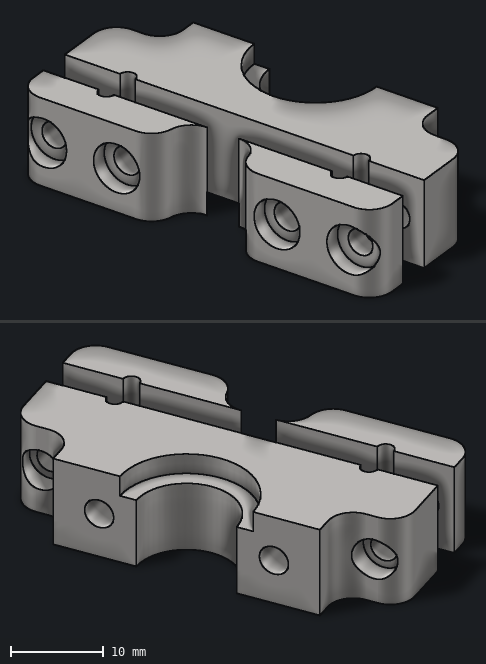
import cadquery as cq
import math

length = 47.0
height = 11.0
corner_radius = 3.0

saddle_depth = 13.5
neck_width = 32.0
shoulder_drop = 5.0
shoulder_y = saddle_depth - shoulder_drop
bore_radius = 6.0
bore_step_radius = 8.0
bore_step_depth = 2.5

clamp_gap = 4.05
clamp_thickness = 5.0
clamp_tip_x = 2.05
clamp_face_y = -clamp_gap
clamp_front_y = clamp_face_y - clamp_thickness

outer_hole_x = 20.0
inner_hole_x = 10.5
outer_hole_diameter = 3.2
inner_hole_diameter = 3.5
clamp_counterbore_diameter = 6.0
clamp_counterbore_depth = 2.0
shoulder_counterbore_diameter = 5.0
shoulder_counterbore_depth = 2.5
groove_x = (outer_hole_x + inner_hole_x) / 2
groove_radius = 1.0

half_length = length / 2
half_neck = neck_width / 2
diagonal = math.sqrt(0.5)


def cylinder_along_y(x, diameter, start_y, end_y):
    """Cylinder at mid height, running along +Y from start_y to end_y."""
    base = cq.Vector(x, start_y, height / 2)
    return cq.Workplane(
        cq.Solid.makeCylinder(diameter / 2, end_y - start_y, base, cq.Vector(0, 1, 0))
    )


def cylinder_along_z(x, y, radius, start_z, end_z):
    """Upright cylinder from start_z to end_z."""
    return cq.Workplane(cq.Solid.makeCylinder(radius, end_z - start_z, cq.Vector(x, y, start_z)))


def saddle_blank():
    """Wide base and narrower neck, blended by rounded shoulders."""
    base = cq.Workplane("XY").box(length, shoulder_y, height, centered=(True, False, False))
    neck = cq.Workplane("XY").box(neck_width, saddle_depth, height, centered=(True, False, False))
    blank = base.union(neck)
    corners = [(side * x, shoulder_y) for side in (-1, 1) for x in (half_length, half_neck)]
    for x, y in corners:
        edge = cq.selectors.NearestToPointSelector((x, y, height / 2))
        blank = blank.edges("|Z").edges(edge).fillet(corner_radius)
    return blank


def make_saddle():
    """Saddle with a stepped half bore, screw holes and grooves."""
    saddle = saddle_blank()
    step_z = height - bore_step_depth
    saddle = saddle.cut(cylinder_along_z(0, saddle_depth, bore_radius, 0, height))
    saddle = saddle.cut(cylinder_along_z(0, saddle_depth, bore_step_radius, step_z, height))
    seat_y = shoulder_y - shoulder_counterbore_depth
    for side in (-1, 1):
        outer_x = side * outer_hole_x
        inner_x = side * inner_hole_x
        saddle = saddle.cut(cylinder_along_y(outer_x, outer_hole_diameter, 0, saddle_depth))
        saddle = saddle.cut(cylinder_along_y(outer_x, shoulder_counterbore_diameter, seat_y, saddle_depth))
        saddle = saddle.cut(cylinder_along_y(inner_x, inner_hole_diameter, 0, saddle_depth))
        saddle = saddle.cut(cylinder_along_z(side * groove_x, 0, groove_radius, 0, height))
    return saddle


def clamp_blank():
    """Right-hand plate: rounded outer corner and an S-curved, pointed inner end."""
    hollow_y = clamp_face_y - corner_radius
    nose_y = clamp_front_y + corner_radius
    rise = nose_y - hollow_y
    run = math.sqrt((2 * corner_radius) ** 2 - rise**2)
    nose_x = clamp_tip_x + run
    s_joint = (clamp_tip_x + run / 2, hollow_y + rise / 2)
    outer_x = half_length - corner_radius
    outer_mid = (outer_x + corner_radius * diagonal, nose_y - corner_radius * diagonal)
    return (
        cq.Workplane("XY")
        .moveTo(clamp_tip_x, clamp_face_y)
        .lineTo(half_length, clamp_face_y)
        .lineTo(half_length, nose_y)
        .threePointArc(outer_mid, (outer_x, clamp_front_y))
        .lineTo(nose_x, clamp_front_y)
        .tangentArcPoint(s_joint, relative=False)
        .tangentArcPoint((clamp_tip_x, clamp_face_y), relative=False)
        .close()
        .extrude(height)
    )


def make_clamp(side):
    """Counterbored clamp on the +X (side = 1) or -X (side = -1) end."""
    clamp = clamp_blank()
    seat_y = clamp_front_y + clamp_counterbore_depth
    holes = ((outer_hole_x, outer_hole_diameter), (inner_hole_x, inner_hole_diameter))
    for x, diameter in holes:
        clamp = clamp.cut(cylinder_along_y(x, diameter, clamp_front_y, clamp_face_y))
        clamp = clamp.cut(cylinder_along_y(x, clamp_counterbore_diameter, clamp_front_y, seat_y))
    clamp = clamp.cut(cylinder_along_z(groove_x, clamp_face_y, groove_radius, 0, height))
    return clamp if side > 0 else clamp.mirror("YZ")


saddle = make_saddle()
clamps = [make_clamp(side) for side in (-1, 1)]
result = cq.Compound.makeCompound([saddle.val(), *[clamp.val() for clamp in clamps]])